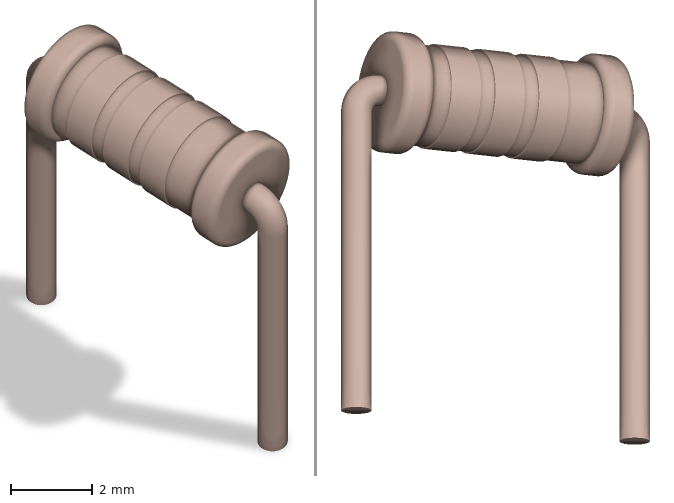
import cadquery as cq

total_height = 9.66
lead_span = 8.37
lead_diameter = 0.75

body_diameter = 2.5
body_length = 6.3
cap_diameter = 3.0
cap_width = 0.8
cap_edge_radius = 0.2

band_diameter = 2.6
band_width = 0.8
band_count = 3
band_pitch = 1.2
first_band_center = -1.42

bend_radius = 0.6

lead_x = (lead_span - lead_diameter) / 2
lead_drop = total_height - cap_diameter / 2


def disc(center_x, width, diameter):
    """Cylinder along X, centered at center_x."""
    start = cq.Workplane("YZ").workplane(offset=center_x - width / 2)
    return start.circle(diameter / 2).extrude(width)


def end_cap(side):
    """Rounded cap at one end of the body; side is -1 or +1."""
    center_x = side * (body_length - cap_width) / 2
    return disc(center_x, cap_width, cap_diameter).edges().fillet(cap_edge_radius)


def lead(side):
    """Round wire leaving the body along X, bent down to the tip."""
    bend_start_x = side * (lead_x - bend_radius)
    path = (
        cq.Workplane("XZ")
        .moveTo(0, 0)
        .lineTo(bend_start_x, 0)
        .tangentArcPoint((side * lead_x, -bend_radius), relative=False)
        .lineTo(side * lead_x, -lead_drop)
    )
    return cq.Workplane("YZ").circle(lead_diameter / 2).sweep(path)


result = disc(0, body_length, body_diameter)
for index in range(band_count):
    band_x = first_band_center + index * band_pitch
    result = result.union(disc(band_x, band_width, band_diameter))
for side in (-1, 1):
    result = result.union(end_cap(side)).union(lead(side))